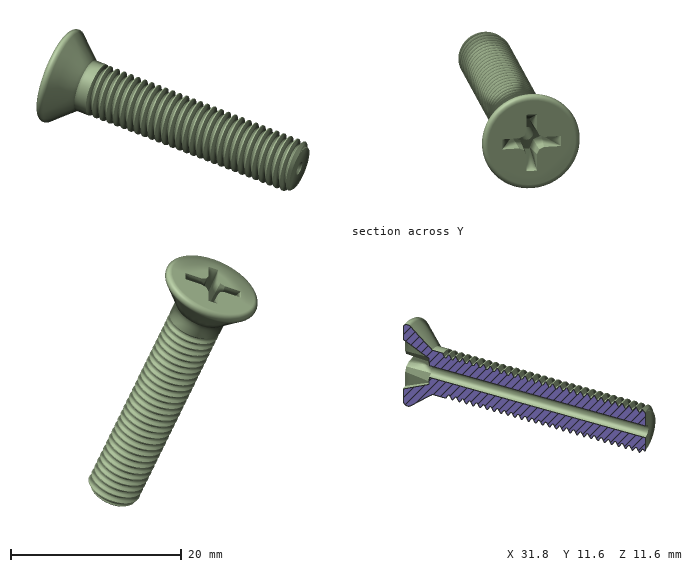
import cadquery as cq
import math

INCH = 25.4
LENGTH = 1.25 * INCH
THREAD_DIAMETER = 0.25 * INCH
PITCH = INCH / 28
THREAD_RADIUS = THREAD_DIAMETER / 2

HEAD_DIAMETER = 11.64
HEAD_HALF_ANGLE = math.radians(82 / 2)
RIM_RADIUS = 0.59

FLANK_HALF_ANGLE = math.radians(30)
THREAD_DEPTH = 0.6134 * PITCH
CREST_WIDTH = PITCH / 8
GROOVE_OVERCUT = 0.03
GROOVE_EDGE_START = 4.97
GROOVE_START_ANGLE = 110
PLAIN_SHANK_END = 5.28
TIP_CHAMFER = 0.5
ROD_EXCESS = 3 * PITCH

RECESS_SPAN = 7.0
WING_WIDTH = 1.25
INNER_CORNER = 0.89
FLOOR_SPAN = 3.68
FLOOR_WING_WIDTH = 0.7
FLOOR_INNER_CORNER = 0.77
CORNER_FLAT_ANGLE = math.radians(24)
WING_WALL_ANGLE = math.radians(26.5)
FLOOR_CONE_SLOPE = math.radians(5)
BORE_DIAMETER = 1.6


def head_and_plain_shank():
    """Head with a rounded rim, its cone and the plain shank, as one revolved body."""
    rim_centre = HEAD_DIAMETER / 2 - RIM_RADIUS
    cone_start_x = RIM_RADIUS * (1 + math.sin(HEAD_HALF_ANGLE))
    cone_start_radius = rim_centre + RIM_RADIUS * math.cos(HEAD_HALF_ANGLE)
    cone_length = (cone_start_radius - THREAD_RADIUS) / math.tan(HEAD_HALF_ANGLE)
    return (
        cq.Workplane("XY")
        .moveTo(0, 0)
        .lineTo(0, rim_centre)
        .threePointArc((RIM_RADIUS, HEAD_DIAMETER / 2), (cone_start_x, cone_start_radius))
        .lineTo(cone_start_x + cone_length, THREAD_RADIUS)
        .lineTo(PLAIN_SHANK_END, THREAD_RADIUS)
        .lineTo(PLAIN_SHANK_END, 0)
        .close()
        .revolve(360, (0, 0, 0), (1, 0, 0))
    )


def thread_groove():
    """Right-handed helical groove that starts at the plain shank and ends beyond the tip."""
    root_radius = THREAD_RADIUS - THREAD_DEPTH
    outer_radius = THREAD_RADIUS + GROOVE_OVERCUT
    half_mouth = (PITCH - CREST_WIDTH) / 2
    half_root = half_mouth - THREAD_DEPTH * math.tan(FLANK_HALF_ANGLE)
    half_outer = half_mouth + GROOVE_OVERCUT * math.tan(FLANK_HALF_ANGLE)
    groove_start = GROOVE_EDGE_START + half_mouth
    groove_length = LENGTH + PITCH - groove_start

    helix = cq.Wire.makeHelix(PITCH, groove_length, root_radius)
    groove = (
        cq.Workplane("XZ")
        .moveTo(root_radius, -half_root)
        .lineTo(outer_radius, -half_outer)
        .lineTo(outer_radius, half_outer)
        .lineTo(root_radius, half_root)
        .close()
        .sweep(cq.Workplane(helix), isFrenet=True)
    )
    return (
        groove.rotate((0, 0, 0), (0, 1, 0), 90)
        .rotate((0, 0, 0), (1, 0, 0), GROOVE_START_ANGLE)
        .translate((groove_start, 0, 0))
    )


def cross_outline(plane, span, wing_width, inner_corner):
    """Four-winged cross; each inner corner is two flats that meet on the diagonal."""
    tip = span / 2
    half = wing_width / 2
    flat_end = inner_corner + (inner_corner - half) / math.tan(CORNER_FLAT_ANGLE)
    wing = [(tip, -half), (tip, half), (flat_end, half), (inner_corner, inner_corner), (half, flat_end)]

    points = []
    for _ in range(4):
        points += wing
        wing = [(-v, u) for u, v in wing]
    return plane.polyline(points).close()


def cross_recess():
    """Tapered cross with a conical floor that leads into the bore."""
    bore_radius = BORE_DIAMETER / 2
    wing_depth = (RECESS_SPAN - FLOOR_SPAN) / 2 / math.tan(WING_WALL_ANGLE)
    cone_depth = (FLOOR_SPAN / 2 - bore_radius) * math.tan(FLOOR_CONE_SLOPE)

    mouth = cross_outline(cq.Workplane("YZ"), RECESS_SPAN, WING_WIDTH, INNER_CORNER)
    tapered_wings = cross_outline(
        mouth.workplane(offset=wing_depth), FLOOR_SPAN, FLOOR_WING_WIDTH, FLOOR_INNER_CORNER
    ).loft(ruled=True)

    floor_plane = cq.Workplane("YZ", origin=(wing_depth, 0, 0))
    floor_prism = cross_outline(
        floor_plane, FLOOR_SPAN, FLOOR_WING_WIDTH, FLOOR_INNER_CORNER
    ).extrude(cone_depth)
    floor_cone = (
        cq.Workplane("XY")
        .moveTo(wing_depth, 0)
        .lineTo(wing_depth, FLOOR_SPAN / 2)
        .lineTo(wing_depth + cone_depth, bore_radius)
        .lineTo(wing_depth + cone_depth, 0)
        .close()
        .revolve(360, (0, 0, 0), (1, 0, 0))
    )
    return tapered_wings.union(floor_prism.intersect(floor_cone))


def axial_bore():
    """Round hole along the whole axis."""
    return cq.Workplane("YZ").circle(BORE_DIAMETER / 2).extrude(LENGTH)


def threaded_shank():
    """Overlong threaded rod trimmed to the plain shank end and to the chamfered tip."""
    rod = (
        cq.Workplane("YZ")
        .circle(THREAD_RADIUS)
        .extrude(LENGTH + ROD_EXCESS)
        .cut(thread_groove())
    )
    tip_radius = THREAD_RADIUS - TIP_CHAMFER
    envelope = (
        cq.Workplane("XY")
        .moveTo(PLAIN_SHANK_END, 0)
        .lineTo(PLAIN_SHANK_END, HEAD_DIAMETER / 2)
        .lineTo(LENGTH + tip_radius - HEAD_DIAMETER / 2, HEAD_DIAMETER / 2)
        .lineTo(LENGTH, tip_radius)
        .lineTo(LENGTH, 0)
        .close()
        .revolve(360, (0, 0, 0), (1, 0, 0))
    )
    return rod.intersect(envelope)


result = head_and_plain_shank().union(threaded_shank()).cut(axial_bore()).cut(cross_recess())